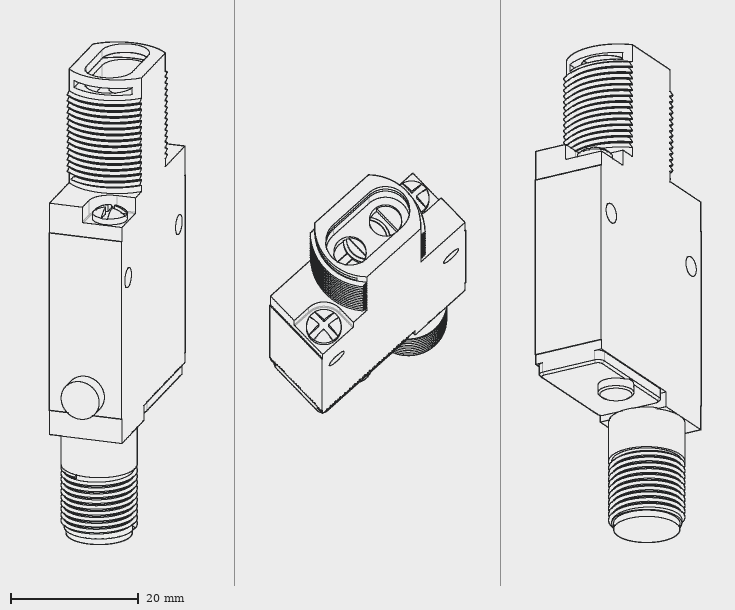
import cadquery as cq

OVERLAP = 0.2

WIDTH = 12.0
LENGTH = 30.75
HOUSING_TOP = 56.9
HOUSING_BOTTOM = 20.6
FOOT_BOTTOM = 18.1
FOOT_INNER_Y = -4.55
BAND_BOTTOM = 22.2
BAND_TOP = 51.9
BAND_HEIGHT = 0.15
END_Y = LENGTH / 2 - BAND_HEIGHT

MOUNT_HOLE_DIAMETER = 3.2
MOUNT_HOLE_Y = 12.2
MOUNT_HOLE_Z = 44.8

TOP = 75.9
SNOUT_CORE_DIAMETER = 16.6
SNOUT_THREAD_DIAMETER = 18.0
SNOUT_THREAD_BOTTOM = 57.6
SNOUT_THREAD_TOP = 73.3
SNOUT_THREAD_START = 235
THREAD_PITCH = 1.0
THREAD_BASE = 0.9
THREAD_OVERLAP = 0.1
WINDOW_LENGTH = 15.2
WINDOW_WIDTH = 7.6
WINDOW_FLOOR = 69.85
SLOT_WIDTH = 9.6
SLOT_BOTTOM = 73.35
SLOT_TOP = 74.5

WELL_DIAMETER = 5.1
WELL_Y = 3.8
WELL_DEPTH = 2.3
RIB_HEIGHT = 0.4
LENS_EDGE_HEIGHT = 0.75
LENS_HEIGHT = 1.15
LEDGE_HEIGHT = 1.5
LENS_RADIUS = 3.8
LENS_STEP = 0.5
RIB_WIDTH = 1.2
SENDER_LEDGE_EDGE = -1.6
RECEIVER_LEDGE_EDGE = -0.45
SENDER_LENS_EDGE = 0.1
RECEIVER_LENS_EDGE = 0.3

SCREW_X = 2.95
SCREW_Y = 12.15
SCREW_DIAMETER = 5.5
SCREW_RIM_HEIGHT = 1.0
SCREW_HEIGHT = 2.1
CROSS_WIDTH = 1.1
CROSS_FLOOR = 0.9
RECESS_RADIUS = 3.5
RECESS_DEPTH = 2.6
RECESS_FLOOR_FILLET = 0.15

COVER_BOTTOM = 18.6
COVER_INNER_Y = -3.95
COVER_WIDTH = 11.7
COVER_CORNER_RADIUS = 1.15
COVER_CHAMFER = 0.4
COVER_SCREW_X = -SCREW_X
COVER_SCREW_Y = 5.7
COVER_SCREW_DIAMETER = 5.6
COVER_SCREW_BOTTOM = 17.0
COVER_SCREW_CHAMFER = 0.3

CONNECTOR_Y = -8.7
CONNECTOR_DIAMETER = WIDTH
CONNECTOR_CORE_DIAMETER = 11.0
CONNECTOR_TIP_DIAMETER = 10.4
CONNECTOR_SHOULDER = 11.55
CONNECTOR_THREAD_BOTTOM = 1.1

BUTTON_DIAMETER = 6.3
BUTTON_Z = 25.5
BUTTON_HEIGHT = 2.5


def box(x0, x1, y0, y1, z0, z1):
    return cq.Workplane("XY").box(x1 - x0, y1 - y0, z1 - z0, centered=False).translate((x0, y0, z0))


def rod(diameter, z0, z1, x=0, y=0):
    return cq.Workplane("XY", origin=(x, y, z0)).circle(diameter / 2).extrude(z1 - z0)


def thread_ridge(core_diameter, thread_diameter, z0, z1, start_angle=0):
    """Right-handed V ridge around the Z axis, between heights z0 and z1, beginning at start_angle."""
    root = core_diameter / 2 - THREAD_OVERLAP
    crest = thread_diameter / 2
    half_base = THREAD_BASE / 2
    start = z0 + half_base
    path = cq.Wire.makeHelix(THREAD_PITCH, z1 - z0 - 2 * half_base, root).translate(cq.Vector(0, 0, start))
    profile = cq.Workplane("XZ").polyline(
        [(root, start - half_base), (crest, start), (root, start + half_base)]
    ).close()
    ridge = profile.sweep(cq.Workplane(path), isFrenet=True)
    return ridge.rotate((0, 0, 0), (0, 0, 1), start_angle)


def make_housing():
    half = WIDTH / 2
    body = box(-half, half, -END_Y, END_Y, HOUSING_BOTTOM, HOUSING_TOP)
    body = body.union(box(-half, half, -END_Y, FOOT_INNER_Y, FOOT_BOTTOM, HOUSING_TOP))
    body = body.union(box(-half, half, -LENGTH / 2, LENGTH / 2, BAND_BOTTOM, BAND_TOP))
    for y in (-MOUNT_HOLE_Y, MOUNT_HOLE_Y):
        hole = cq.Workplane("YZ", origin=(-half, y, MOUNT_HOLE_Z)).circle(MOUNT_HOLE_DIAMETER / 2)
        body = body.cut(hole.extrude(WIDTH))
    return body


def make_snout():
    snout = rod(SNOUT_CORE_DIAMETER, HOUSING_TOP - OVERLAP, TOP)
    ridge = thread_ridge(
        SNOUT_CORE_DIAMETER,
        SNOUT_THREAD_DIAMETER,
        SNOUT_THREAD_BOTTOM,
        SNOUT_THREAD_TOP,
        SNOUT_THREAD_START,
    )
    snout = snout.union(ridge)
    reach = SNOUT_THREAD_DIAMETER
    flats = box(-WIDTH / 2, WIDTH / 2, -reach, reach, 0, TOP)
    snout = snout.intersect(flats)
    window = cq.Workplane("XY", origin=(0, 0, WINDOW_FLOOR)).slot2D(WINDOW_LENGTH, WINDOW_WIDTH, 90)
    snout = snout.cut(window.extrude(TOP - WINDOW_FLOOR))
    return snout.cut(box(-SLOT_WIDTH / 2, SLOT_WIDTH / 2, -reach, reach, SLOT_BOTTOM, SLOT_TOP))


def make_well(y, ledge_edge, lens_edge, lens_side):
    """Round well with a two-step, round-edged lens and a straight ledge on its floor."""
    bottom = WINDOW_FLOOR - WELL_DEPTH
    radius = WELL_DIAMETER / 2
    well = rod(WELL_DIAMETER, bottom, WINDOW_FLOOR, y=y)
    lens_y = y + lens_edge + lens_side * LENS_RADIUS
    lens = rod(2 * LENS_RADIUS, bottom, bottom + LENS_EDGE_HEIGHT, y=lens_y)
    lens = lens.union(rod(2 * (LENS_RADIUS - LENS_STEP), bottom, bottom + LENS_HEIGHT, y=lens_y))
    ledge = box(-radius, radius, y - radius, y + ledge_edge, bottom, bottom + LEDGE_HEIGHT)
    return well.cut(lens).cut(ledge)


def make_sender_rib():
    """Low rib across the sender well, from its lens to its outer wall."""
    bottom = WINDOW_FLOOR - WELL_DEPTH
    start_y = WELL_Y + SENDER_LENS_EDGE
    wall_y = WELL_Y + WELL_DIAMETER / 2
    return box(-RIB_WIDTH / 2, RIB_WIDTH / 2, start_y, wall_y, bottom - OVERLAP, bottom + RIB_HEIGHT)


def make_screw_recess():
    """Recess open to the +X and -Y sides, with one rounded inner corner and a filleted floor."""
    floor = HOUSING_TOP - RECESS_DEPTH
    outer_x = WIDTH / 2 + 2 * RECESS_FLOOR_FILLET
    outer_y = -LENGTH / 2 - 2 * RECESS_FLOOR_FILLET
    recess = box(SCREW_X - RECESS_RADIUS, outer_x, outer_y, -SCREW_Y + RECESS_RADIUS, floor, HOUSING_TOP)
    recess = recess.edges("|Z and <X and >Y").fillet(RECESS_RADIUS)
    return recess.faces("<Z").edges().fillet(RECESS_FLOOR_FILLET)


def make_screw():
    """Domed cross-slot head in the +X, -Y corner."""
    radius = SCREW_DIAMETER / 2
    crown = SCREW_HEIGHT - SCREW_RIM_HEIGHT
    dome_radius = (radius**2 + crown**2) / (2 * crown)
    dome = cq.Workplane("XY").sphere(dome_radius).translate((0, 0, SCREW_HEIGHT - dome_radius))
    head = rod(SCREW_DIAMETER, -OVERLAP, SCREW_HEIGHT).intersect(dome)
    half_cross = CROSS_WIDTH / 2
    head = head.cut(box(-radius, radius, -half_cross, half_cross, CROSS_FLOOR, SCREW_HEIGHT))
    head = head.cut(box(-half_cross, half_cross, -radius, radius, CROSS_FLOOR, SCREW_HEIGHT))
    return head.translate((SCREW_X, -SCREW_Y, HOUSING_TOP - RECESS_DEPTH))


def make_cover():
    top = HOUSING_BOTTOM + OVERLAP
    half = COVER_WIDTH / 2
    cover = box(-half, half, COVER_INNER_Y, END_Y, COVER_BOTTOM, top)
    cover = cover.edges("|Z").fillet(COVER_CORNER_RADIUS).faces("<Z").chamfer(COVER_CHAMFER)
    screw_top = COVER_BOTTOM + OVERLAP
    screw = rod(COVER_SCREW_DIAMETER, COVER_SCREW_BOTTOM, screw_top, COVER_SCREW_X, COVER_SCREW_Y)
    return cover.union(screw.faces("<Z").chamfer(COVER_SCREW_CHAMFER))


def make_connector():
    connector = rod(CONNECTOR_DIAMETER, CONNECTOR_SHOULDER, FOOT_BOTTOM + OVERLAP)
    connector = connector.union(rod(CONNECTOR_CORE_DIAMETER, CONNECTOR_THREAD_BOTTOM, FOOT_BOTTOM))
    connector = connector.union(rod(CONNECTOR_TIP_DIAMETER, 0, FOOT_BOTTOM))
    ridge = thread_ridge(
        CONNECTOR_CORE_DIAMETER, CONNECTOR_DIAMETER, CONNECTOR_THREAD_BOTTOM, CONNECTOR_SHOULDER
    )
    return connector.union(ridge).translate((0, CONNECTOR_Y, 0))


def make_button():
    button = cq.Workplane("XZ", origin=(0, -END_Y, BUTTON_Z)).circle(BUTTON_DIAMETER / 2)
    return button.extrude(BUTTON_HEIGHT + BAND_HEIGHT)


result = make_housing().union(make_snout())
result = result.cut(make_well(WELL_Y, SENDER_LEDGE_EDGE, SENDER_LENS_EDGE, -1))
result = result.cut(make_well(-WELL_Y, RECEIVER_LEDGE_EDGE, RECEIVER_LENS_EDGE, 1))
result = result.union(make_sender_rib())
for turn in (0, 180):
    recess = make_screw_recess().rotate((0, 0, 0), (0, 0, 1), turn)
    screw = make_screw().rotate((0, 0, 0), (0, 0, 1), turn)
    result = result.cut(recess).union(screw)
result = result.union(make_cover()).union(make_connector()).union(make_button())